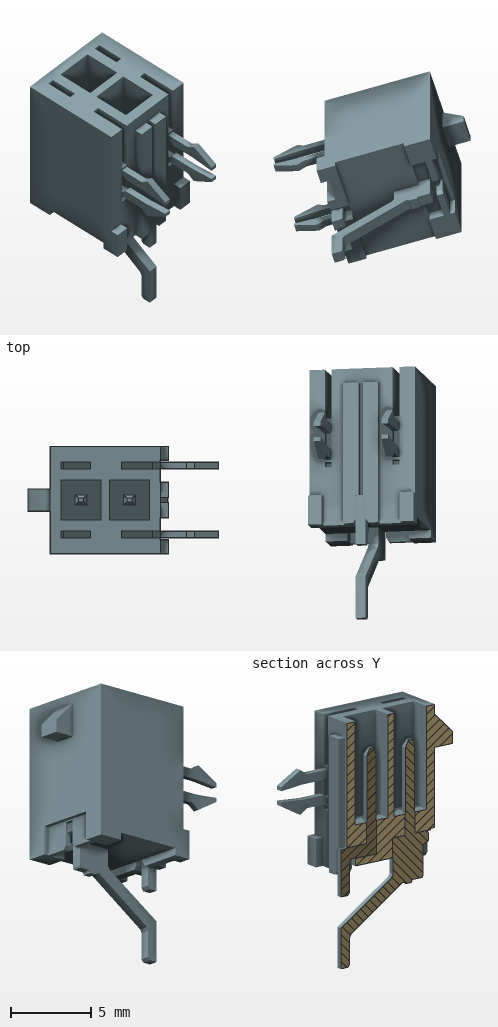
import cadquery as cq


body_length = 6.85
body_width = 6.7
body_height = 9.89

latch_reach = 1.38
latch_width = 1.4
latch_bottom = 7.08
latch_lip_top = 7.87

standoff_reach = 0.52
pad_top = 1.86
pad_inner_y = 2.46
rib_top = 8.9
rib_outer_y = 1.11
rib_groove_width = 0.29

relief_start = 1.67
relief_end = 6.19
relief_height = 0.48

recess_half_width = 1.94
recess_depth = 0.32
recess_top = 1.86
slot_wall_back = 0.72
pocket_height = 0.95
slot_chamfer_width = 0.17
slot_chamfer_height = 0.25

contact_pitch = 3.0
contact_x = [body_length / 2 - contact_pitch / 2, body_length / 2 + contact_pitch / 2]
socket_size = 2.5
socket_floor = 3.18

contact_thickness = 0.64
post_width = 0.75
post_top = 7.95
post_tip_length = 0.48
post_tip_width = 0.32
post_tip_thickness = 0.25
contact_top = 1.76
base_front = 0.92
base_back = 3.26
arm_bottom = 1.0
tail_front = 6.61
tail_back = 7.33
tail_chamfer_x = 0.15
tail_chamfer_z = 0.19
long_tail_end = body_height - 15.9
short_tail_end = -1.34

clip_y = 2.15
clip_thickness = 0.43
clip_z = 5.3
clip_front = 0.83
clip_plate_end = 6.38
clip_plate_half_height = 1.59
clip_tip_x = 10.48

front_window_start = 0.67
front_window_end = 2.5
rear_window_start = 4.45


def block(x_range, y_range, z_range):
    """Box between two limits along each axis."""
    size = [high - low for low, high in (x_range, y_range, z_range)]
    corner = (x_range[0], y_range[0], z_range[0])
    return cq.Workplane("XY").box(*size, centered=False).translate(corner)


def plate(outline, thickness, y=0.0):
    """Flat plate with an X-Z outline, centred on the plane at y."""
    sheet = cq.Workplane("XZ").polyline(outline).close().extrude(thickness / 2, both=True)
    return sheet.translate((0, y, 0))


def make_post(x):
    """Square contact post with a tapered tip, standing on the contact base."""
    shoulder = post_top - post_tip_length
    half = post_width / 2
    outline = [(x - half, contact_top), (x + half, contact_top), (x + half, shoulder), (x - half, shoulder)]
    shaft = plate(outline, contact_thickness)
    tip = (
        cq.Workplane("XY", origin=(x, 0, shoulder))
        .rect(post_width, contact_thickness)
        .workplane(offset=post_tip_length)
        .rect(post_tip_width, post_tip_thickness)
        .loft(ruled=True)
    )
    return shaft.union(tip)


def tail_end_points(end_z):
    """Bottom of a solder tail, from its front edge to its back edge."""
    return [
        (tail_front, end_z + tail_chamfer_z),
        (tail_front + tail_chamfer_x, end_z),
        (tail_back, end_z),
    ]


def make_long_contact():
    """Front contact: barbed base, sloping arm and long tail."""
    outline = [
        (0.54, contact_top),
        (0.54, 1.67),
        (0.48, 1.67),
        (0.48, 1.15),
        (0.62, 1.0),
        (0.78, 1.0),
        (base_front, 0.86),
        (base_front, -1.1),
        (0.97, -1.21),
        (1.73, -1.21),
        (1.78, -1.3),
        (1.78, -1.38),
        (2.25, -1.38),
        (2.4, -1.25),
        (2.53, -1.25),
        (6.52, -3.9),
        (tail_front, -4.1),
        *tail_end_points(long_tail_end),
        (tail_back, -3.35),
        (3.4, -0.81),
        (base_back, -0.59),
        (base_back, contact_top),
    ]
    return plate(outline, contact_thickness).union(make_post(contact_x[0]))


def make_short_contact():
    """Rear contact: straight arm inside the housing and short tail."""
    arm_front = contact_x[1] - post_width / 2
    outline = [
        (arm_front, contact_top),
        (arm_front, arm_bottom),
        (tail_front, arm_bottom),
        *tail_end_points(short_tail_end),
        (tail_back, contact_top),
    ]
    return plate(outline, contact_thickness).union(make_post(contact_x[1]))


def make_clip(y):
    """Board-lock clip: a plate inside the housing with two barbed prongs."""
    prong = [
        (clip_plate_end, 1.27),
        (body_length, 1.27),
        (body_length, 1.11),
        (8.49, 1.11),
        (8.98, 1.46),
        (clip_tip_x, 0.62),
        (clip_tip_x, 0.35),
        (8.82, 0.5),
        (7.14, 0.5),
        (6.93, 0.72),
        (clip_plate_end, 0.72),
    ]
    upper = [(x, clip_z + height) for x, height in prong]
    lower = [(x, clip_z - height) for x, height in reversed(prong)]
    top = clip_z + clip_plate_half_height
    bottom = clip_z - clip_plate_half_height
    outline = [
        (clip_front, top),
        (clip_plate_end, top),
        *upper,
        *lower,
        (clip_plate_end, bottom),
        (clip_front, bottom),
    ]
    return plate(outline, clip_thickness, y)


def make_shell():
    """Main block with the latch ramp and the standoffs."""
    half_width = body_width / 2
    standoff_end = body_length + standoff_reach
    shell = block((0, body_length), (-half_width, half_width), (0, body_height))

    latch_outline = [
        (0, latch_bottom),
        (-latch_reach, latch_bottom),
        (-latch_reach, latch_lip_top),
        (0, latch_lip_top + latch_reach),
    ]
    shell = shell.union(plate(latch_outline, latch_width))

    standoff_x = (body_length, standoff_end)
    shell = shell.union(block(standoff_x, (-rib_outer_y, rib_outer_y), (0, rib_top)))
    for y_range in ((-half_width, -pad_inner_y), (pad_inner_y, half_width)):
        shell = shell.union(block(standoff_x, y_range, (0, pad_top)))

    groove_half = rib_groove_width / 2
    return shell.cut(block(standoff_x, (-groove_half, groove_half), (0, rib_top)))


def cut_underside(housing):
    """Relief between the feet, front recess and the chamfered contact slots."""
    half_width = body_width / 2
    slot_half = contact_thickness / 2
    mouth_half = slot_half + slot_chamfer_width
    housing_end = body_length + standoff_reach
    recess_y = (-recess_half_width, recess_half_width)
    slot_y = (-slot_half, slot_half)

    housing = housing.cut(block((relief_start, relief_end), (-half_width, half_width), (0, relief_height)))
    housing = housing.cut(block((slot_wall_back, relief_start), recess_y, (0, pocket_height)))
    housing = housing.cut(block((0, recess_depth), recess_y, (0, recess_top)))
    housing = housing.cut(block((0, base_front), slot_y, (0, contact_top)))
    housing = housing.cut(block((relief_end, housing_end), slot_y, (0, arm_bottom)))
    housing = housing.cut(block((tail_front, housing_end), slot_y, (0, contact_top)))

    mouth = (
        cq.Workplane("YZ")
        .polyline([
            (-mouth_half, 0),
            (mouth_half, 0),
            (slot_half, slot_chamfer_height),
            (-slot_half, slot_chamfer_height),
        ])
        .close()
        .extrude(housing_end)
    )
    return housing.cut(mouth)


def cut_sockets(housing):
    """Square mating sockets, open at the top."""
    half = socket_size / 2
    for x in contact_x:
        housing = housing.cut(block((x - half, x + half), (-half, half), (socket_floor, body_height)))
    return housing


def cut_clip_slot(housing, y):
    """Channel for a clip, open to the +X face, and its two windows in the top face."""
    y_range = (y - clip_thickness / 2, y + clip_thickness / 2)
    channel_bottom = clip_z - clip_plate_half_height
    channel_top = clip_z + clip_plate_half_height
    housing = housing.cut(block((front_window_start, body_length), y_range, (channel_bottom, channel_top)))
    for x_range in ((front_window_start, front_window_end), (rear_window_start, body_length)):
        housing = housing.cut(block(x_range, y_range, (channel_top, body_height)))
    return housing


long_contact = make_long_contact()
short_contact = make_short_contact()
clip_positions = [-clip_y, clip_y]
clips = [make_clip(y) for y in clip_positions]

housing = cut_sockets(cut_underside(make_shell()))
for y in clip_positions:
    housing = cut_clip_slot(housing, y)
for contact in (long_contact, short_contact):
    housing = housing.cut(contact)

result = cq.Compound.makeCompound([
    housing.val(),
    long_contact.val(),
    short_contact.val(),
    *[clip.val() for clip in clips],
])